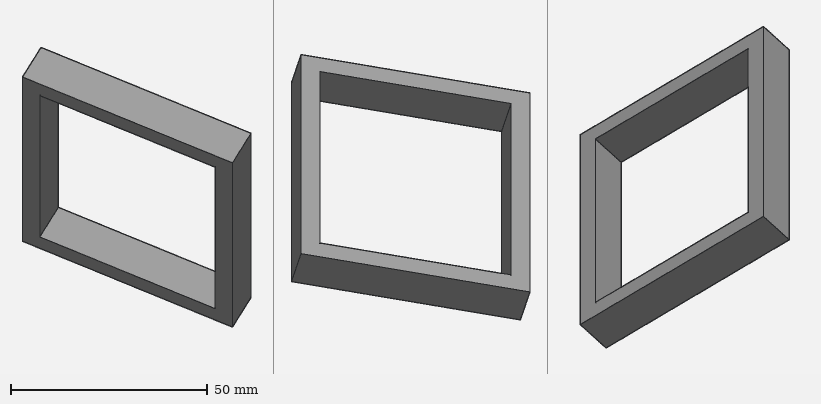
import cadquery as cq

width = 60.0
depth = 10.5
height = 71.0
wall = 5.0

outer_block = cq.Workplane("XY").box(width, depth, height)
opening = cq.Workplane("XY").box(width - 2 * wall, depth, height - 2 * wall)

result = outer_block.cut(opening)